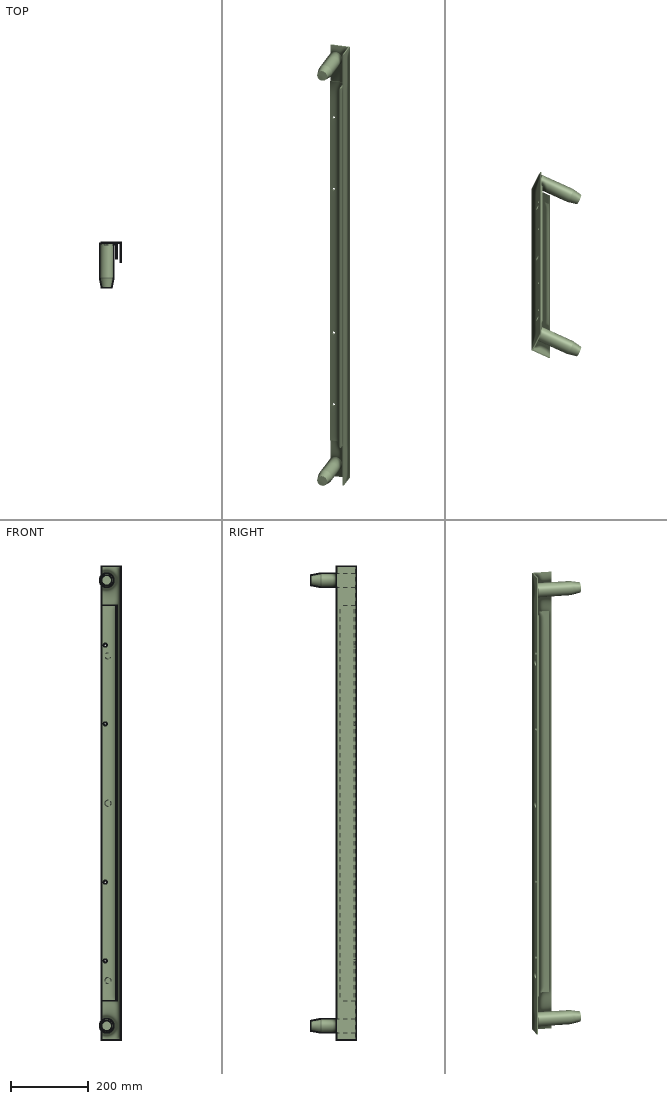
import cadquery as cq


OUTER_LENGTH = 1219.0
OUTER_WIDTH = 51.0
OUTER_DEPTH = 51.0
SHEET = 3.0

INNER_LENGTH = 1017.0
INNER_WIDTH = 40.0
INNER_DEPTH = 39.0

PIN_DIAMETER = 37.0
PIN_TIP_DIAMETER = 27.0
PIN_TIP_LENGTH = 25.0
OVERALL_WIDTH = 56.0
OVERALL_DEPTH = 117.0
PIN_SPACING = 1146.0
PIN_LENGTH = OVERALL_DEPTH - SHEET

PIN_X = PIN_DIAMETER / 2
LEFT_EDGE = OVERALL_WIDTH - OUTER_WIDTH

SMALL_HOLE_X = 15.0
SMALL_HOLE_DIAMETER = 7.9
SMALL_HOLE_HEIGHTS = [-406.0, -204.0, 204.0, 406.0]
LARGE_HOLE_X = 21.0
LARGE_HOLE_DIAMETER = 16.0
LARGE_HOLE_HEIGHTS = [-456.0, 0.0, 379.0]


def make_angle(width, depth, length, back):
    """L-section along Z with its back plate at Y = back and its leg at the +X edge."""
    right = LEFT_EDGE + width
    return (
        cq.Workplane("XY", origin=(0, 0, -length / 2))
        .moveTo(LEFT_EDGE, back)
        .lineTo(right, back)
        .lineTo(right, back - depth)
        .lineTo(right - SHEET, back - depth)
        .lineTo(right - SHEET, back - SHEET)
        .lineTo(LEFT_EDGE, back - SHEET)
        .close()
        .extrude(length)
    )


def drill_back_plate(body, x, diameter, heights):
    """Cut a column of round holes through the back plate of an angle."""
    drills = (
        cq.Workplane("XZ")
        .pushPoints([(x, height) for height in heights])
        .circle(diameter / 2)
        .extrude(2 * SHEET)
    )
    return body.cut(drills)


def make_outer_angle():
    """Full-length angle; the inner angle covers its large holes."""
    angle = make_angle(OUTER_WIDTH, OUTER_DEPTH, OUTER_LENGTH, back=0)
    angle = drill_back_plate(angle, SMALL_HOLE_X, SMALL_HOLE_DIAMETER, SMALL_HOLE_HEIGHTS)
    return drill_back_plate(angle, LARGE_HOLE_X, LARGE_HOLE_DIAMETER, LARGE_HOLE_HEIGHTS)


def make_inner_angle():
    """Shorter angle whose holes line up with the outer angle's small holes."""
    angle = make_angle(INNER_WIDTH, INNER_DEPTH, INNER_LENGTH, back=-SHEET)
    return drill_back_plate(angle, SMALL_HOLE_X, SMALL_HOLE_DIAMETER, SMALL_HOLE_HEIGHTS)


def make_pin(height):
    """Round pin with a conical tip, revolved about its own axis along -Y."""
    radius = PIN_DIAMETER / 2
    shoulder = PIN_LENGTH - PIN_TIP_LENGTH
    return (
        cq.Workplane("XY", origin=(PIN_X, -SHEET, height))
        .lineTo(radius, 0)
        .lineTo(radius, -shoulder)
        .lineTo(PIN_TIP_DIAMETER / 2, -PIN_LENGTH)
        .lineTo(0, -PIN_LENGTH)
        .close()
        .revolve(360, (0, 0, 0), (0, 1, 0))
    )


outer_angle = make_outer_angle()
inner_angle = make_inner_angle()
pins = [make_pin(side * PIN_SPACING / 2) for side in (-1, 1)]

result = cq.Compound.makeCompound(
    [outer_angle.val(), inner_angle.val(), *[pin.val() for pin in pins]]
)